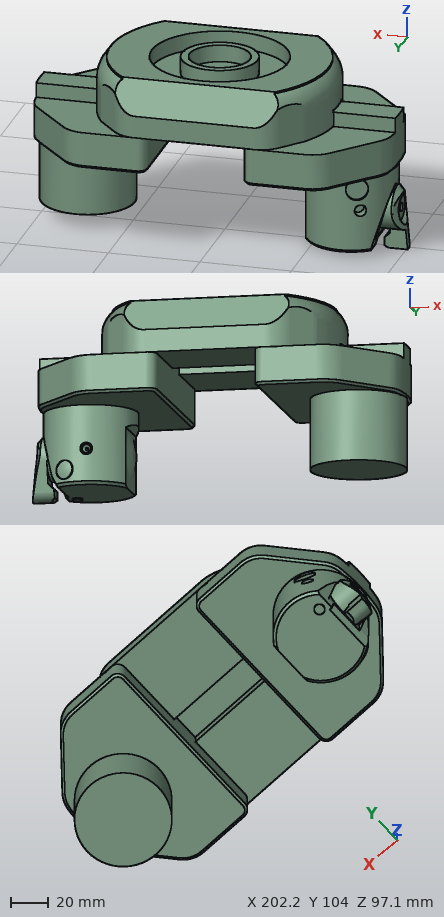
import cadquery as cq
import math


half_width = 52.0
corner_radius = 16.2
slide_end_radius = 98.5

bridge_height = 30.0
bridge_radius = 65.0
bridge_flank_angle = 50.0
bridge_corner_x = 40.0
corner_band = 36.4
shoulder_z = 18.2
shoulder_radius = 13.7
rim_radius = 59.6
ramp_top_y = 42.5
ramp_bottom_z = 12.1
recess_diameter = 74.2
boss_diameter = 41.5
boss_bore_diameter = 33.0
recess_depth = 9.3

key_width = 16.5
key_height = 8.0
key_clearance = 1.0
plate_flank_angle = 49.0
plate_corner_x = 68.0
plate_inner_x = 26.5
plate_end_corner_radius = 17.2
inner_corner_radius = 5.0
left_plate_thickness = 20.6
right_plate_thickness = 20.0
plate_edge_chamfer = 1.5

tool_x = 72.5
tool_y = 2.2
weight_diameter = 51.4
weight_bottom = -57.8
holder_diameter = 50.3
holder_radius = holder_diameter / 2
holder_bottom = -63.3
holder_chamfer = 1.6
holder_flat_x = -51.2
holder_flat_top = -28.1
flat_runout = 3.0
dial_base_diameter = 24.0
dial_top_diameter = 10.0
dial_height = 2.0
front_slope = 16.0
front_slope_top = -29.1
relief_top = -56.5
relief_inner_x = -90.2
relief_bottom_x = -86.3
relief_side_y = 10.3
grub_diameter = 6.3
grub_recess_depth = 1.0
grub_cup_diameter = 4.7
grub_socket_diameter = 1.5
grub_x = -70.0
grub_depth = 8.0
spot_face_angle = 22.0
spot_face_diameter = 12.0
spot_face_z = -27.5
spot_face_depth = 1.2
side_hole_angle = 26.0
side_hole_diameter = 6.3
side_hole_z = -39.5
side_hole_depth = 6.0
nozzle_diameter = 10.1
nozzle_angle = 22.0
nozzle_z = -54.8
nozzle_rise = 1.0
nozzle_dome_radius = 16.2
stud_diameter = 5.7
stud_x = -82.5
stud_y = 14.2
stud_rise = 0.6

insert_z = -44.0
insert_diameter = 24.0
insert_radius = insert_diameter / 2
insert_back_x = -94.0
insert_seat_x = -89.2
insert_chamfer_x = -97.5
insert_front_x = -100.9
insert_front_z = -35.8
insert_tip_x = -103.7
insert_tip_z = -67.1
tail_side_y = 4.0
tip_end_y = 0.6
flank_y = -5.3
flank_z = -63.3
tip_round_middle = (-3.2, -66.0)
heel_x = -91.0
heel_start_z = -58.6
heel_top_z = -61.5
heel_bottom_z = -66.0
heel_toe_x = -93.0
insert_face_radius = 20.2
screw_head_diameter = 13.5
screw_head_x = -99.9
screw_head_height = 2.5
screw_flare = 6.0
screw_shank_diameter = 8.0
screw_end_x = -80.9
screw_socket_diameter = 4.7
screw_socket_depth = 2.0

reach = 141.5


def flanked_block(corner_x, flank_angle, height):
    """Block of full width whose ends taper to points at the flank angle."""
    point_x = corner_x + half_width / math.tan(math.radians(flank_angle))
    outline = [(corner_x, half_width), (point_x, 0), (corner_x, -half_width)]
    outline += [(-x, -y) for x, y in outline]
    return cq.Workplane("XY").polyline(outline).close().extrude(height)


def x_cylinder(radius, x_start, x_end):
    """Cylinder about the insert axis, which runs along X."""
    return (
        cq.Workplane("YZ", origin=(x_start, tool_y, insert_z))
        .circle(radius)
        .extrude(x_end - x_start)
    )


def x_cone(start_x, start_radius, end_x, end_radius):
    """Solid cone frustum about the insert axis."""
    profile = [(start_x, 0), (start_x, start_radius), (end_x, end_radius), (end_x, 0)]
    return (
        cq.Workplane("XY", origin=(0, tool_y, insert_z))
        .polyline(profile).close()
        .revolve(360, (0, 0), (1, 0))
    )


def side_prism(points, y_start, y_end):
    """Prism with an X-Z outline between two Y positions."""
    return (
        cq.Workplane("XZ", origin=(0, y_end, 0))
        .polyline(points).close()
        .extrude(y_end - y_start)
    )


def make_bridge():
    body = flanked_block(bridge_corner_x, bridge_flank_angle, bridge_height)
    body = body.edges("|Z").edges(">Y or <Y").fillet(corner_radius)
    body = body.intersect(cq.Workplane("XY").circle(bridge_radius).extrude(bridge_height))
    end_corners = cq.selectors.BoxSelector(
        (-reach, -corner_band, -reach), (reach, corner_band, reach)
    )
    body = body.edges("|Z").edges(end_corners).fillet(corner_radius)

    shoulder_centre = bridge_radius - shoulder_radius
    shoulder_top = shoulder_z + math.sqrt(shoulder_radius**2 - (rim_radius - shoulder_centre)**2)
    middle = math.radians(25)
    envelope = (
        cq.Workplane("XZ")
        .lineTo(bridge_radius, 0)
        .lineTo(bridge_radius, shoulder_z)
        .threePointArc(
            (shoulder_centre + shoulder_radius * math.cos(middle),
             shoulder_z + shoulder_radius * math.sin(middle)),
            (rim_radius, shoulder_top),
        )
        .lineTo(rim_radius, bridge_height)
        .lineTo(0, bridge_height)
        .close()
        .revolve(360, (0, 0), (0, 1))
    )
    body = body.intersect(envelope)

    cross_section = [
        (half_width, 0), (half_width, ramp_bottom_z), (ramp_top_y, bridge_height),
        (-ramp_top_y, bridge_height), (-half_width, ramp_bottom_z), (-half_width, 0),
    ]
    ramps = cq.Workplane("YZ").polyline(cross_section).close().extrude(reach, both=True)
    body = body.intersect(ramps)

    recess = (
        cq.Workplane("XY", origin=(0, 0, bridge_height))
        .circle(recess_diameter / 2).circle(boss_diameter / 2)
        .extrude(-recess_depth)
    )
    bore = (
        cq.Workplane("XY", origin=(0, 0, bridge_height))
        .circle(boss_bore_diameter / 2)
        .extrude(-recess_depth)
    )
    slot_height = key_height + key_clearance
    slot = cq.Workplane("XY").box(2 * reach, key_width, slot_height, centered=(True, True, False))
    return body.cut(recess).cut(bore).cut(slot)


def make_slide_plate(thickness):
    """Plate on the +X side with its top at Z = 0 and a key along its middle."""
    end_circle = cq.Workplane("XY").circle(slide_end_radius).extrude(thickness)
    inner_cut = cq.Workplane("XY").box(2 * plate_inner_x, 2 * reach, 2 * reach)
    body = flanked_block(plate_corner_x, plate_flank_angle, thickness).intersect(end_circle)
    body = body.cut(inner_cut).intersect(
        cq.Workplane("XY").box(reach, 2 * reach, 2 * reach, centered=(False, True, True))
    )
    body = body.edges("|Z").edges("<X").fillet(inner_corner_radius)
    body = body.edges("|Z").edges(">Y or <Y").edges(">X").fillet(corner_radius)
    body = body.edges("|Z").edges(">X").fillet(plate_end_corner_radius)
    body = body.faces("<Z").edges().chamfer(plate_edge_chamfer)
    body = body.translate((0, 0, -thickness))

    key = cq.Workplane("XY", origin=(plate_inner_x, 0, 0)).box(
        reach, key_width, key_height, centered=(False, True, False)
    )
    key = key.intersect(cq.Workplane("XY").circle(slide_end_radius).extrude(key_height))
    return body.union(key)


def make_counterweight():
    return (
        cq.Workplane("XY", origin=(tool_x, -tool_y, weight_bottom))
        .circle(weight_diameter / 2)
        .extrude(-right_plate_thickness - weight_bottom)
    )


def radial_plane(angle, z):
    """Plane on the holder axis, facing out at an angle given from +X."""
    direction = (math.cos(math.radians(angle)), math.sin(math.radians(angle)), 0)
    return cq.Plane(origin=(-tool_x, tool_y, z), xDir=(0, 0, 1), normal=direction)


def radial_hole(angle, diameter, z, depth):
    """Cutter for a hole drilled square into the holder wall, angle from +Y towards -X."""
    return (
        cq.Workplane(radial_plane(90 + angle, z))
        .workplane(offset=holder_radius - depth)
        .circle(diameter / 2)
        .extrude(reach)
    )


def make_holder():
    top = -left_plate_thickness
    body = (
        cq.Workplane("XY", origin=(-tool_x, tool_y, holder_bottom))
        .circle(holder_radius)
        .extrude(top - holder_bottom)
        .faces("<Z").chamfer(holder_chamfer)
    )

    inner_edge = holder_radius - tool_x
    flat = side_prism(
        [(inner_edge, holder_flat_top), (holder_flat_x, holder_flat_top - flat_runout),
         (holder_flat_x, -reach), (inner_edge, -reach)],
        -reach, reach,
    )
    dial = x_cone(holder_flat_x, dial_base_diameter / 2,
                  holder_flat_x + dial_height, dial_top_diameter / 2)
    body = body.cut(flat).union(dial)

    outer_edge = -tool_x - holder_radius
    slope_run = (front_slope_top + reach) * math.tan(math.radians(front_slope))
    front = side_prism(
        [(outer_edge, front_slope_top), (outer_edge + slope_run, -reach), (outer_edge, -reach)],
        -reach, reach,
    )
    body = body.cut(front)

    open_end = cq.Workplane("XY", origin=(insert_seat_x - reach / 2, tool_y, insert_z))
    open_end = open_end.rect(reach, 2 * insert_radius).extrude(-reach)
    pocket = x_cylinder(insert_radius, -reach, insert_seat_x).union(open_end)
    body = body.cut(pocket)

    relief = side_prism(
        [(-reach, relief_top), (relief_inner_x, relief_top),
         (relief_bottom_x, holder_bottom), (-reach, holder_bottom)],
        -reach, relief_side_y,
    )
    body = body.cut(relief)

    stud = (
        cq.Workplane("XY", origin=(stud_x, stud_y, holder_bottom - stud_rise))
        .circle(stud_diameter / 2)
        .extrude(2 * stud_rise)
    )
    body = body.union(stud)

    nozzle_plane = radial_plane(-90 - nozzle_angle, nozzle_z)
    dome_offset = holder_radius + nozzle_rise - nozzle_dome_radius
    nozzle = (
        cq.Workplane(nozzle_plane).circle(nozzle_diameter / 2).extrude(reach)
        .intersect(
            cq.Workplane(nozzle_plane).workplane(offset=dome_offset).sphere(nozzle_dome_radius)
        )
    )
    body = body.union(nozzle)

    grub_surface = tool_y - holder_radius
    recess = (
        cq.Workplane("XZ", origin=(grub_x, grub_surface, insert_z))
        .circle(grub_diameter / 2)
        .extrude(-grub_recess_depth)
    )
    socket = (
        cq.Workplane("XZ", origin=(grub_x, grub_surface, insert_z))
        .circle(grub_socket_diameter / 2)
        .extrude(-grub_depth)
    )
    cup = cq.Solid.makeCone(
        grub_cup_diameter / 2, grub_socket_diameter / 2,
        (grub_cup_diameter - grub_socket_diameter) / 2,
        pnt=cq.Vector(grub_x, grub_surface + grub_recess_depth, insert_z),
        dir=cq.Vector(0, 1, 0),
    )
    body = body.cut(recess).cut(socket).cut(cq.Workplane(obj=cup))

    body = body.cut(radial_hole(spot_face_angle, spot_face_diameter, spot_face_z, spot_face_depth))
    body = body.cut(radial_hole(side_hole_angle, side_hole_diameter, side_hole_z, side_hole_depth))

    return body.cut(x_cylinder(screw_shank_diameter / 2, insert_seat_x, screw_end_x))


def make_insert():
    bevel_depth = insert_radius / 2
    bevelled_head = x_cylinder(insert_radius, insert_chamfer_x, insert_seat_x).union(
        x_cone(insert_chamfer_x - bevel_depth, insert_radius - bevel_depth,
               insert_chamfer_x, insert_radius)
    )
    plain_head = x_cylinder(insert_radius, -reach, insert_seat_x)
    lower_half = cq.Workplane("XY", origin=(0, 0, insert_z)).rect(2 * reach, 2 * reach).extrude(-reach)
    head = bevelled_head.union(plain_head.intersect(lower_half))

    to_flank = math.atan2(flank_z - insert_z, flank_y - tool_y)
    flank_distance = math.hypot(flank_z - insert_z, flank_y - tool_y)
    tangent_angle = to_flank - math.acos(insert_radius / flank_distance)
    tangent_y = tool_y + insert_radius * math.cos(tangent_angle)
    tangent_z = insert_z + insert_radius * math.sin(tangent_angle)
    tail = (
        cq.Workplane("YZ", origin=(-reach, 0, 0))
        .moveTo(tail_side_y, insert_z)
        .lineTo(tail_side_y, insert_tip_z)
        .lineTo(tip_end_y, insert_tip_z)
        .threePointArc(tip_round_middle, (flank_y, flank_z))
        .lineTo(tangent_y, tangent_z)
        .lineTo(tool_y, insert_z)
        .close()
        .extrude(reach)
    )
    thickness = side_prism(
        [(-reach, insert_z), (insert_back_x, insert_z), (insert_back_x, heel_start_z),
         (heel_x, heel_top_z), (heel_x, heel_bottom_z), (heel_toe_x, insert_tip_z),
         (-reach, insert_tip_z)],
        -reach, reach,
    )
    body = head.union(tail.intersect(thickness))

    lean = math.degrees(
        math.atan2(insert_front_x - insert_tip_x, insert_front_z - insert_tip_z)
    )
    front_axis = (insert_front_x + insert_face_radius, tool_y, insert_front_z)
    face = cq.Workplane("XY", origin=front_axis).circle(insert_face_radius).extrude(reach, both=True)
    face = face.rotate(
        (insert_front_x, 0, insert_front_z), (insert_front_x, 1, insert_front_z), lean
    )
    body = body.intersect(face)

    head_radius = screw_head_diameter / 2
    body = body.cut(x_cylinder(head_radius, screw_head_x, screw_head_x + screw_head_height))
    body = body.cut(x_cylinder(screw_shank_diameter / 2, screw_head_x, insert_seat_x))
    return body.cut(x_cone(screw_head_x - screw_flare, head_radius + screw_flare,
                           screw_head_x, head_radius))


def make_insert_screw():
    head = x_cylinder(screw_head_diameter / 2, screw_head_x, screw_head_x + screw_head_height)
    shank = x_cylinder(screw_shank_diameter / 2, screw_head_x, screw_end_x)
    socket = x_cylinder(screw_socket_diameter / 2, screw_head_x, screw_head_x + screw_socket_depth)
    return head.union(shank).cut(socket)


bridge = make_bridge()
right_plate = make_slide_plate(right_plate_thickness)
left_plate = make_slide_plate(left_plate_thickness).rotate((0, 0, 0), (0, 0, 1), 180)
counterweight = make_counterweight()
holder = make_holder()
insert = make_insert()
insert_screw = make_insert_screw()

result = cq.Compound.makeCompound([
    bridge.val(),
    left_plate.val(),
    right_plate.val(),
    counterweight.val(),
    holder.val(),
    insert.val(),
    insert_screw.val(),
])